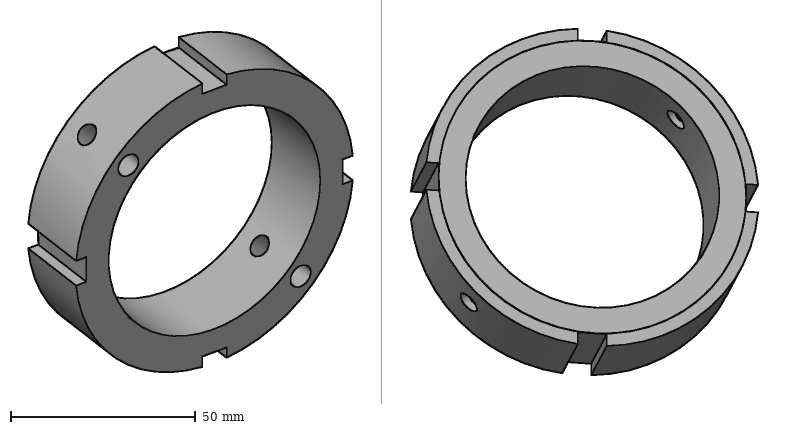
import cadquery as cq
import math

width = 23.0
span = 91.65
slot_width = 8.0
bore_diameter = 70.0
shoulder_diameter = 85.0
shoulder_height = 0.3
hole_setback = 9.1
radial_hole_diameter = 6.2
axial_hole_diameter = 6.7
axial_hole_radius = 40.3

outer_radius = math.hypot(span / 2, slot_width / 2)
shoulder_radius = shoulder_diameter / 2


def make_ring():
    """Ring with a shallow raised shoulder on its -X face."""
    rim = cq.Workplane("YZ").workplane(offset=shoulder_height)
    rim = rim.circle(outer_radius).extrude(width - shoulder_height)
    shoulder = cq.Workplane("YZ").circle(shoulder_radius).extrude(width)
    bore = cq.Workplane("YZ").circle(bore_diameter / 2).extrude(width)
    return rim.union(shoulder).cut(bore)


def make_slot(angle):
    """Spanner slot across the full width, its flat floor level with the shoulder."""
    slot = cq.Workplane("XY").workplane(offset=shoulder_radius)
    slot = slot.center(width / 2, 0).rect(width, slot_width).extrude(outer_radius)
    return slot.rotate((0, 0, 0), (1, 0, 0), angle)


def make_crossed_holes(angle):
    """Radial through hole met by a blind axial hole drilled from the +X face."""
    radial = cq.Workplane("XY").center(hole_setback, 0)
    radial = radial.circle(radial_hole_diameter / 2).extrude(outer_radius)
    axial = cq.Workplane("YZ").workplane(offset=hole_setback).center(0, axial_hole_radius)
    axial = axial.circle(axial_hole_diameter / 2).extrude(width - hole_setback)
    return radial.union(axial).rotate((0, 0, 0), (1, 0, 0), angle)


result = make_ring()
for slot_angle in (0, 90, 180, 270):
    result = result.cut(make_slot(slot_angle))
for hole_angle in (45, 225):
    result = result.cut(make_crossed_holes(hole_angle))